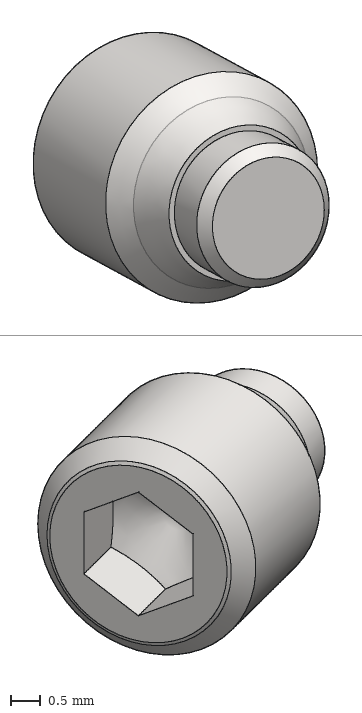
import cadquery as cq
import math

length = 5.0
body_radius = 2.0
body_chamfer = 0.34
edge_break_length = 0.03
socket_face_radius = 1.625
shoulder_start = 2.955
neck_start = 3.3
neck_end = 4.0
neck_end_radius = 1.35
neck_sag = 0.02
tip_radius = 1.25
tip_chamfer = 0.195

hex_across_flats = 2.0
hex_depth = 1.1
cone_angle = 120.0

neck_start_radius = body_radius - (neck_start - shoulder_start)
chamfer_start_radius = body_radius - (body_chamfer - edge_break_length)
hex_corner_radius = hex_across_flats / math.sqrt(3)


def turned_body():
    """Revolve the outer profile, with a concave arc along the neck."""
    run = neck_end - neck_start
    rise = neck_end_radius - neck_start_radius
    chord = math.hypot(run, rise)
    neck_middle = (
        (neck_start + neck_end) / 2 + neck_sag * rise / chord,
        (neck_start_radius + neck_end_radius) / 2 - neck_sag * run / chord,
    )
    return (
        cq.Workplane("XY")
        .lineTo(0, socket_face_radius)
        .lineTo(edge_break_length, chamfer_start_radius)
        .lineTo(body_chamfer, body_radius)
        .lineTo(shoulder_start, body_radius)
        .lineTo(neck_start, neck_start_radius)
        .threePointArc(neck_middle, (neck_end, neck_end_radius))
        .lineTo(neck_end, tip_radius)
        .lineTo(length - tip_chamfer, tip_radius)
        .lineTo(length, tip_radius - tip_chamfer)
        .lineTo(length, 0)
        .close()
        .revolve(360, (0, 0, 0), (1, 0, 0))
    )


def hex_socket():
    """Hexagonal prism with corners on Z, ended by a drill-point cone."""
    cone_height = hex_corner_radius / math.tan(math.radians(cone_angle / 2))
    prism = (
        cq.Workplane("YZ")
        .polygon(6, 2 * hex_corner_radius)
        .extrude(hex_depth + cone_height)
        .rotate((0, 0, 0), (1, 0, 0), 90)
    )
    drilled_hole = (
        cq.Workplane("XY")
        .lineTo(0, hex_corner_radius)
        .lineTo(hex_depth, hex_corner_radius)
        .lineTo(hex_depth + cone_height, 0)
        .close()
        .revolve(360, (0, 0, 0), (1, 0, 0))
    )
    return prism.intersect(drilled_hole)


result = turned_body().cut(hex_socket())